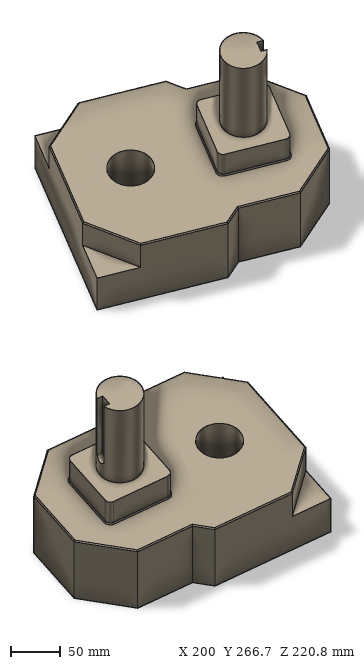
import cadquery as cq

length = 266.7
wide_width = 200.0
narrow_width = 167.5
block_height = 83.7
corner_cut = 46.1
shoulder_start = 138.7
edge_chamfer = 1.3

ledge_height = 48.8

hole_diameter = 48.0
hole_y = 68.5

shaft_y = 187.8
boss_side = 76.8
boss_top = 115.5
boss_corner_radius = 6.1
boss_foot = 1.3
foot_slope = 45
shaft_diameter = 48.0
total_height = 220.8
key_width = 12.5
key_depth = 7.5
key_length = 87.0


def make_block():
    """Stepped block with cut corners and a chamfered top edge."""
    half_wide = wide_width / 2
    half_narrow = narrow_width / 2
    shoulder_end = shoulder_start + half_wide - half_narrow
    right_side = [
        (half_wide - corner_cut, 0),
        (half_wide, corner_cut),
        (half_wide, shoulder_start),
        (half_narrow, shoulder_end),
        (half_narrow, length - corner_cut),
        (half_narrow - corner_cut, length),
    ]
    left_side = [(-x, y) for x, y in reversed(right_side)]
    block = cq.Workplane("XY").polyline(right_side + left_side).close().extrude(block_height)
    block = block.faces(">Z").edges().chamfer(edge_chamfer)
    ledges = cq.Workplane("XY").box(wide_width, shoulder_start, ledge_height, centered=(True, False, False))
    return block.union(ledges)


def make_boss():
    """Rounded square boss with a small sloped foot."""
    boss = (
        cq.Workplane("XY", origin=(0, shaft_y, block_height))
        .rect(boss_side, boss_side)
        .extrude(boss_top - block_height)
        .edges("|Z")
        .fillet(boss_corner_radius)
    )
    foot_side = boss_side + 2 * boss_foot
    foot_outline = cq.Sketch().rect(foot_side, foot_side).vertices().fillet(boss_corner_radius + boss_foot)
    foot = (
        cq.Workplane("XY", origin=(0, shaft_y, block_height))
        .placeSketch(foot_outline)
        .extrude(boss_foot, taper=foot_slope)
    )
    return boss.union(foot)


def make_shaft():
    """Round shaft with a round-ended keyway on its +Y side, open at the top."""
    radius = shaft_diameter / 2
    shaft = (
        cq.Workplane("XY", origin=(0, shaft_y, boss_top))
        .circle(radius)
        .extrude(total_height - boss_top)
    )
    half_key = key_width / 2
    key_end = total_height - key_length
    floor_y = shaft_y + radius - key_depth
    keyway = (
        cq.Workplane("XZ", origin=(0, floor_y, 0))
        .moveTo(-half_key, total_height)
        .lineTo(-half_key, key_end + half_key)
        .threePointArc((0, key_end), (half_key, key_end + half_key))
        .lineTo(half_key, total_height)
        .close()
        .extrude(-key_depth)
    )
    return shaft.cut(keyway)


hole = cq.Workplane("XY", origin=(0, hole_y, 0)).circle(hole_diameter / 2).extrude(block_height)

result = make_block().cut(hole).union(make_boss()).union(make_shaft())